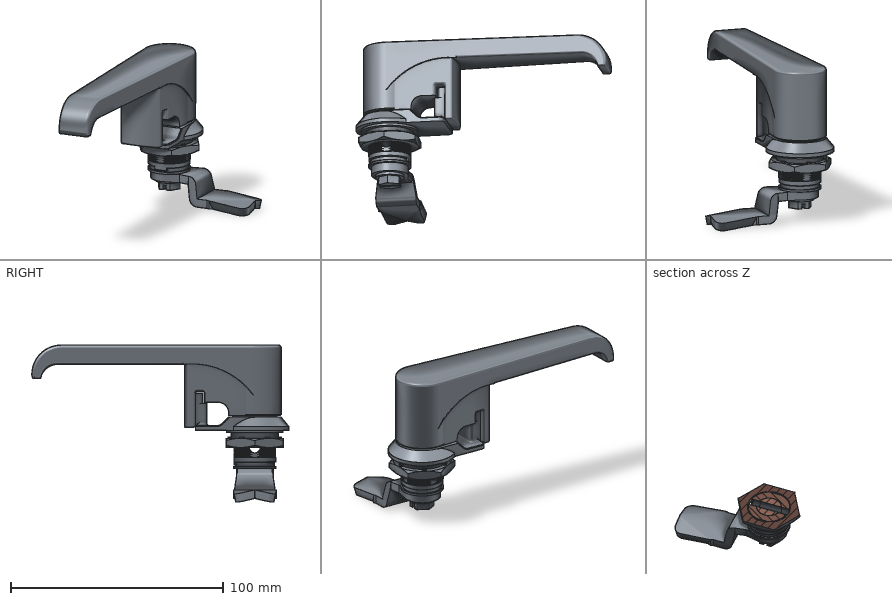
import cadquery as cq
import math


handle_top = 40.2
handle_bottom = 6.9
head_radius = 12.5
grip_end = -105.0
grip_end_half_width = 7.6
grip_underside = 31.0
grip_rim_fillet = 1.5
grip_lower_fillet = 0.8
nose_radius = 14.0
nose_inner_radius = 8.0
nose_inner_start = -92.9
nose_inner_mid_angle = math.radians(40)
nose_tip_z = 24.3
nose_tip_front = -104.6
nose_tip_back = -100.8
arch_end = -33.8
arch_middle = (-15.0, 28.2)
arch_foot = (-0.7, 16.6)
web_back_half_width = 11.95
web_front_half_width = 10.0
web_end_radius = 33.2
web_bottom = 1.4
web_fillet = 0.9
web_bottom_fillet = 0.5
head_bottom_chamfer = 0.6

eye_back = -12.3
eye_top = 13.2
eye_radius = 5.0
slot_front = -23.6
slot_end = -28.0
slot_top = 18.3
slot_corner = 0.8
slot_edge_fillet = 1.2

neck_radius = 10.5
spindle_radius = 6.0
stop_radius = 9.2
stop_top_gap = 0.4
stop_flange_radius = 10.0
stop_flange_thickness = 1.0
collar_radius = 6.7
collar_thickness = 1.3
hex_across_flats = 9.8
hex_bottom = -27.0
hex_slot_width = 1.6
hex_slot_depth = 2.3

flange_radius = 16.0
flange_rim_height = 1.8
flange_top = 6.3
flange_top_radius = 12.4
arm_half_width = 12.5
arm_floor = 2.2
arm_slope_end = -16.5
arm_corner_radius = 2.5
arm_trough_fillet = 4.0
arm_edge_chamfer = 0.4
post_back = -24.4
post_top = 17.5
post_step_back = -22.6
post_step_top = 12.7
post_half_width = 8.0
post_corner_radius = 1.5
post_foot_fillet = 1.5
gasket_radius = 13.35
gasket_bottom = -1.1
shank_radius = 22.29 / 2
shank_bottom = -3.8
thread_radius = 10.0
thread_bottom = -12.8
thread_pitch = 1.0
thread_depth = 0.5
key_groove_width = 4.6
key_groove_depth = 0.6
collar_ring_radius = 9.9
collar_ring_bottom = -14.8
stop_tab_half_width = 3.2
stop_tab_bottom = -16.2
cross_hole_diameter = 5.2
cross_hole_z = -8.0

nut_across_flats = 27.0
nut_thickness = 4.2
nut_chamfer_height = 1.0
nut_chamfer_radius = 13.6
tooth_inner = 11.4
tooth_outer = 12.6
tooth_width = 2.0
tooth_height = 0.6
tooth_count = 6

cam_top = -17.9
cam_thickness = 4.0
cam_drop = 10.1
cam_hub_radius = 8.7
cam_leg_angle = math.radians(10.0)
cam_bend_x = 14.0
cam_waist_x = 8.8
cam_waist_half_width = 7.1
cam_flare_half_width = 8.1
cam_plate_half_width = 9.6
cam_step_x = 24.4
cam_fold_x = 25.5
cam_end_x = 44.99
cam_wing_half_width = 10.1
cam_corner_radius = 4.0
cam_fold_angle = 14.75
cam_fold_flat_width = 0.9

cam_bottom = cam_top - cam_thickness
hexagon_corner_ratio = 2 / math.sqrt(3)
selection_margin = 0.1


def cylinder(radius, z_low, z_high):
    return cq.Workplane("XY").workplane(offset=z_low).circle(radius).extrude(z_high - z_low)


def block(x_low, x_high, y_low, y_high, z_low, z_high):
    size = (x_high - x_low, y_high - y_low, z_high - z_low)
    return cq.Workplane("XY").box(*size, centered=False).translate((x_low, y_low, z_low))


def hexagon(across_flats, z_low, z_high):
    sketch = cq.Workplane("XY").workplane(offset=z_low)
    return sketch.polygon(6, across_flats * hexagon_corner_ratio).extrude(z_high - z_low)


def extrude_across(profile, half_width):
    """Extrude a YZ profile the same distance to both sides of the X centre plane."""
    return profile.extrude(half_width, both=True)


def taper_tangent_point():
    """Point of the round head where the straight side of the grip leaves it."""
    distance = math.hypot(grip_end, grip_end_half_width)
    bearing = math.atan2(grip_end, grip_end_half_width)
    tangent_angle = bearing + math.acos(head_radius / distance)
    return head_radius * math.cos(tangent_angle), head_radius * math.sin(tangent_angle)


def handle_plan():
    """Round head with tapered sides tangent to it, over the full handle height."""
    tangent_x, tangent_y = taper_tangent_point()
    return (
        cq.Workplane("XY").workplane(offset=handle_bottom)
        .moveTo(tangent_x, tangent_y)
        .threePointArc((0, head_radius), (-tangent_x, tangent_y))
        .lineTo(-grip_end_half_width, grip_end)
        .lineTo(grip_end_half_width, grip_end)
        .close()
        .extrude(handle_top - handle_bottom)
    )


def grip():
    """Flat grip with a hooked nose; its underside arches down into the head."""
    nose_start = grip_end + nose_radius
    nose_centre_z = handle_top - nose_radius
    diagonal = math.sqrt(0.5)
    inner_centre_z = grip_underside - nose_inner_radius
    profile = (
        cq.Workplane("YZ")
        .moveTo(head_radius, handle_top)
        .lineTo(nose_start, handle_top)
        .threePointArc(
            (nose_start - nose_radius * diagonal, nose_centre_z + nose_radius * diagonal),
            (grip_end, nose_centre_z),
        )
        .lineTo(nose_tip_front, nose_tip_z)
        .lineTo(nose_tip_back, nose_tip_z)
        .threePointArc(
            (nose_inner_start - nose_inner_radius * math.sin(nose_inner_mid_angle),
             inner_centre_z + nose_inner_radius * math.cos(nose_inner_mid_angle)),
            (nose_inner_start, grip_underside),
        )
        .lineTo(arch_end, grip_underside)
        .threePointArc(arch_middle, arch_foot)
        .lineTo(head_radius, arch_foot[1])
        .close()
    )
    return handle_plan().intersect(extrude_across(profile, 2 * head_radius))


def handle_web():
    """Web below the grip, set in from its sides and rounded about the turning axis."""
    front_y = -web_end_radius
    tapered = (
        cq.Workplane("XY").workplane(offset=web_bottom)
        .polyline([
            (-web_back_half_width, 0), (web_back_half_width, 0),
            (web_front_half_width, front_y), (-web_front_half_width, front_y),
        ])
        .close()
        .extrude(grip_underside + 1 - web_bottom)
    )
    web = tapered.intersect(cylinder(web_end_radius, web_bottom, handle_top))
    web = web.edges("|Z").edges("<Y").fillet(web_fillet)
    return web.faces("<Z").edges("<Y").fillet(web_bottom_fillet)


def padlock_eye():
    eye = block(-flange_radius, flange_radius, slot_front, eye_back, 0, eye_top)
    eye = eye.edges("|X and >Y and >Z").fillet(eye_radius)
    slot = block(-flange_radius, flange_radius, slot_end, slot_front, 0, slot_top)
    slot = slot.edges("|X and >Z").fillet(slot_corner)
    return eye.union(slot)


def stop_tab_space():
    return block(
        -stop_tab_half_width, stop_tab_half_width, -flange_radius, -spindle_radius,
        stop_tab_bottom, collar_ring_bottom,
    )


def cross_hole():
    hole = cq.Workplane("YZ").center(0, cross_hole_z).circle(cross_hole_diameter / 2)
    return extrude_across(hole, shank_radius + 1)


def spindle():
    """Neck, shaft, stop disc, collar under the cam and slotted hexagonal end."""
    stop_flange_top = cam_top + stop_flange_thickness
    collar_bottom = cam_bottom - collar_thickness
    body = cylinder(neck_radius, flange_top, handle_bottom)
    body = body.union(cylinder(spindle_radius, collar_bottom, handle_bottom))
    stop = cylinder(stop_radius, stop_flange_top, collar_ring_bottom - stop_top_gap)
    body = body.union(stop.cut(stop_tab_space()))
    body = body.union(cylinder(stop_flange_radius, cam_top, stop_flange_top))
    body = body.union(cylinder(collar_radius, collar_bottom, cam_bottom))
    body = body.union(hexagon(hex_across_flats, hex_bottom, collar_bottom))
    half_slot = hex_slot_width / 2
    slot = block(-half_slot, half_slot, -collar_radius, collar_radius, hex_bottom, hex_bottom + hex_slot_depth)
    return body.cut(slot).cut(cross_hole())


def handle_body():
    head = cylinder(head_radius, handle_bottom, grip_underside)
    head = head.faces("<Z").chamfer(head_bottom_chamfer)
    body = grip()
    body = body.faces(">Z").edges().fillet(grip_rim_fillet)
    underside = cq.selectors.BoxSelector(
        (-flange_radius, arch_end + 1, nose_tip_z - 1),
        (flange_radius, grip_end - 1, grip_underside + selection_margin),
        boundingbox=True,
    )
    body = body.edges(underside).fillet(grip_lower_fillet)
    body = body.union(head).union(handle_web())
    below_head = block(-flange_radius, flange_radius, eye_back, flange_radius, 0, handle_bottom)
    body = body.cut(padlock_eye()).cut(below_head)
    slot_outline = cq.selectors.BoxSelector(
        (-flange_radius, slot_end - selection_margin, eye_top - selection_margin),
        (flange_radius, slot_front + selection_margin, slot_top + selection_margin),
        boundingbox=True,
    )
    body = body.edges(slot_outline).edges("not |X").fillet(slot_edge_fillet)
    return body.union(spindle())


def base_arm():
    """Arm under the padlock eye, with a stepped post that stands in the slot of the handle web."""
    profile = (
        cq.Workplane("YZ")
        .polyline([
            (0, 0), (slot_end, 0), (slot_end, arm_floor),
            (arm_slope_end, arm_floor), (eye_back, flange_top), (0, flange_top),
        ])
        .close()
    )
    arm = extrude_across(profile, arm_half_width)
    arm = arm.edges("|Z").edges("<Y").fillet(arm_corner_radius)
    trough_start = cq.selectors.NearestToPointSelector((0, arm_slope_end, arm_floor))
    arm = arm.edges(trough_start).fillet(arm_trough_fillet)
    slope = cq.selectors.NearestToPointSelector((0, eye_back - 1, flange_top - 1))
    arm = arm.faces(slope).edges("not |X").chamfer(arm_edge_chamfer)
    post = block(-post_half_width, post_half_width, slot_end, post_back, 0, post_top)
    post = post.edges("|Z and >Y").fillet(post_corner_radius)
    step = block(-post_half_width, post_half_width, slot_end, post_step_back, 0, post_step_top)
    step = step.edges("|Z and >Y").fillet(post_corner_radius)
    arm = arm.union(post).union(step)
    foot = cq.selectors.BoxSelector(
        (-post_half_width - selection_margin, post_step_back + selection_margin, arm_floor - selection_margin),
        (post_half_width + selection_margin, slot_end + selection_margin, arm_floor + selection_margin),
    )
    return arm.edges(foot).fillet(post_foot_fillet)


def threaded_shank():
    """Thread shown as ring grooves, interrupted by four lengthwise key grooves."""
    thread = cylinder(thread_radius, thread_bottom, shank_bottom)
    root_radius = thread_radius - thread_depth
    turns = int((shank_bottom - thread_bottom) / thread_pitch)
    for turn in range(turns):
        z = thread_bottom + (turn + 0.5) * thread_pitch
        groove = (
            cq.Workplane("XZ")
            .polyline([
                (root_radius, z),
                (thread_radius, z - thread_pitch / 4),
                (thread_radius, z + thread_pitch / 4),
            ])
            .close()
            .revolve(360, (0, 0, 0), (0, 1, 0))
        )
        thread = thread.cut(groove)
    half_key = key_groove_width / 2
    key_floor = thread_radius - key_groove_depth
    for quarter in range(4):
        key_groove = block(-half_key, half_key, key_floor, flange_radius, thread_bottom, shank_bottom)
        thread = thread.cut(key_groove.rotate((0, 0, 0), (0, 0, 1), 90 * quarter))
    return thread


def base_body():
    flange = (
        cq.Workplane("XZ")
        .polyline([
            (0, 0), (flange_radius, 0), (flange_radius, flange_rim_height),
            (flange_top_radius, flange_top), (0, flange_top),
        ])
        .close()
        .revolve(360, (0, 0, 0), (0, 1, 0))
    )
    body = flange.union(base_arm())
    body = body.union(cylinder(gasket_radius, gasket_bottom, 0))
    body = body.union(cylinder(shank_radius, shank_bottom, gasket_bottom))
    body = body.union(threaded_shank())
    body = body.union(cylinder(collar_ring_radius, collar_ring_bottom, thread_bottom))
    tab_stock = cylinder(collar_ring_radius, stop_tab_bottom, collar_ring_bottom)
    body = body.union(tab_stock.intersect(stop_tab_space()))
    bore = cylinder(spindle_radius, stop_tab_bottom, flange_top)
    return body.cut(bore).cut(cross_hole())


def nut_body():
    """Hexagon nut, chamfered on both faces, with gripping teeth on top."""
    top = shank_bottom
    bottom = top - nut_thickness
    outer = nut_across_flats * hexagon_corner_ratio / 2
    turned = (
        cq.Workplane("XZ")
        .polyline([
            (0, bottom), (nut_chamfer_radius, bottom), (outer, bottom + nut_chamfer_height),
            (outer, top - nut_chamfer_height), (nut_chamfer_radius, top), (0, top),
        ])
        .close()
        .revolve(360, (0, 0, 0), (0, 1, 0))
    )
    body = hexagon(nut_across_flats, bottom, top).intersect(turned)
    for index in range(tooth_count):
        tooth = block(-tooth_width / 2, tooth_width / 2, tooth_inner, tooth_outer, top - 1, top + tooth_height)
        body = body.union(tooth.rotate((0, 0, 0), (0, 0, 1), index * 360 / tooth_count))
    return body.cut(cylinder(thread_radius, bottom, top))


def cam_strip():
    """Flat hub, sloping leg and lower plate, bent about the inner corners of the strip."""
    lower_top = cam_top - cam_drop
    lower_bottom = lower_top - cam_thickness
    normal = (math.cos(cam_leg_angle), math.sin(cam_leg_angle))
    across = (cam_thickness * normal[0], cam_thickness * normal[1])
    leg_length = (cam_bottom - lower_top + across[1]) / normal[0]
    upper_bend = (cam_bend_x, cam_bottom)
    lower_bend = (cam_bend_x + across[0] + leg_length * normal[1], lower_top)
    bend_middle = (math.pi / 2 + cam_leg_angle) / 2
    middle = (cam_thickness * math.cos(bend_middle), cam_thickness * math.sin(bend_middle))
    return (
        cq.Workplane("XZ")
        .moveTo(-cam_hub_radius, cam_top)
        .lineTo(cam_bend_x, cam_top)
        .threePointArc(
            (upper_bend[0] + middle[0], upper_bend[1] + middle[1]),
            (upper_bend[0] + across[0], upper_bend[1] + across[1]),
        )
        .lineTo(*lower_bend)
        .lineTo(cam_end_x, lower_top)
        .lineTo(cam_end_x, lower_bottom)
        .lineTo(lower_bend[0], lower_bottom)
        .threePointArc(
            (lower_bend[0] - middle[0], lower_bend[1] - middle[1]),
            (lower_bend[0] - across[0], lower_bend[1] - across[1]),
        )
        .lineTo(*upper_bend)
        .lineTo(-cam_hub_radius, cam_bottom)
        .close()
        .extrude(flange_radius, both=True)
    )


def cam_leg_space():
    """Space beyond the first bend: the leg widens from the hub level down to the lower plate."""
    lower_top = cam_top - cam_drop
    lower_bottom = lower_top - cam_thickness
    right_side = [
        (cam_flare_half_width, cam_top),
        (cam_plate_half_width, lower_top),
        (cam_wing_half_width, lower_top),
        (cam_wing_half_width, lower_bottom),
    ]
    outline = right_side + [(-y, z) for y, z in reversed(right_side)]
    profile = cq.Workplane("YZ").workplane(offset=cam_bend_x).polyline(outline).close()
    return profile.extrude(cam_end_x - cam_bend_x)


def cam_plan():
    """Outline of the hub, waist, flared leg and the pointed flat of the lower plate."""
    waist_distance = math.hypot(cam_waist_x, cam_waist_half_width)
    waist_bearing = math.atan2(cam_waist_half_width, cam_waist_x)
    hub_angle = waist_bearing + math.acos(cam_hub_radius / waist_distance)
    edge = [
        (cam_hub_radius * math.cos(hub_angle), cam_hub_radius * math.sin(hub_angle)),
        (cam_waist_x, cam_waist_half_width),
        (cam_bend_x, cam_flare_half_width),
        (cam_bend_x, cam_plate_half_width),
        (cam_step_x, cam_plate_half_width),
        (cam_fold_x, cam_wing_half_width),
    ]
    outline = edge + [(cam_end_x, 0)] + [(x, -y) for x, y in reversed(edge)]
    height = cam_top - 2 * cam_drop
    plan = cq.Workplane("XY").workplane(offset=height).polyline(outline).close().extrude(-height)
    return plan.union(cylinder(cam_hub_radius, height, 0))


def cam_wing(side):
    """Corner of the lower plate, folded down about the line from its edge to the cam tip."""
    lower_top = cam_top - cam_drop
    edge_y = side * cam_wing_half_width
    wing = (
        cq.Workplane("XY").workplane(offset=lower_top)
        .polyline([(cam_fold_x, edge_y), (cam_end_x, 0), (cam_end_x, edge_y)])
        .close()
        .extrude(-cam_thickness)
    )
    square_corner = cq.selectors.NearestToPointSelector((cam_end_x, edge_y, lower_top - cam_thickness / 2))
    wing = wing.edges("|Z").edges(square_corner).fillet(cam_corner_radius)
    fold_start = (cam_fold_x, edge_y, lower_top)
    fold_end = (cam_end_x, 0, lower_top)
    return wing.rotate(fold_start, fold_end, -side * cam_fold_angle)


def cam_fold_flat(side):
    """Space above the narrow flat that breaks the top edge of a fold at half its angle."""
    lower_top = cam_top - cam_drop
    fold_start = (cam_fold_x, side * cam_wing_half_width, lower_top)
    fold_end = (cam_end_x, 0, lower_top)
    half_angle = cam_fold_angle / 2
    depth = cam_fold_flat_width / 2 * math.sin(math.radians(half_angle))
    space = block(cam_step_x, cam_end_x + 1, -flange_radius, flange_radius, lower_top, lower_top + cam_thickness)
    space = space.rotate(fold_start, fold_end, -side * half_angle)
    return space.translate((0, 0, -depth))


def cam_body():
    hub_space = block(-flange_radius, cam_bend_x, -flange_radius, flange_radius, cam_bottom, cam_top)
    body = cam_strip().intersect(cam_plan()).intersect(cam_leg_space().union(hub_space))
    for side in (1, -1):
        body = body.union(cam_wing(side))
        body = body.cut(cam_fold_flat(side))
    return body.cut(cylinder(spindle_radius, cam_bottom, cam_top))


handle = handle_body()
base = base_body()
nut = nut_body()
cam = cam_body()
result = cq.Compound.makeCompound([handle.val(), base.val(), nut.val(), cam.val()])